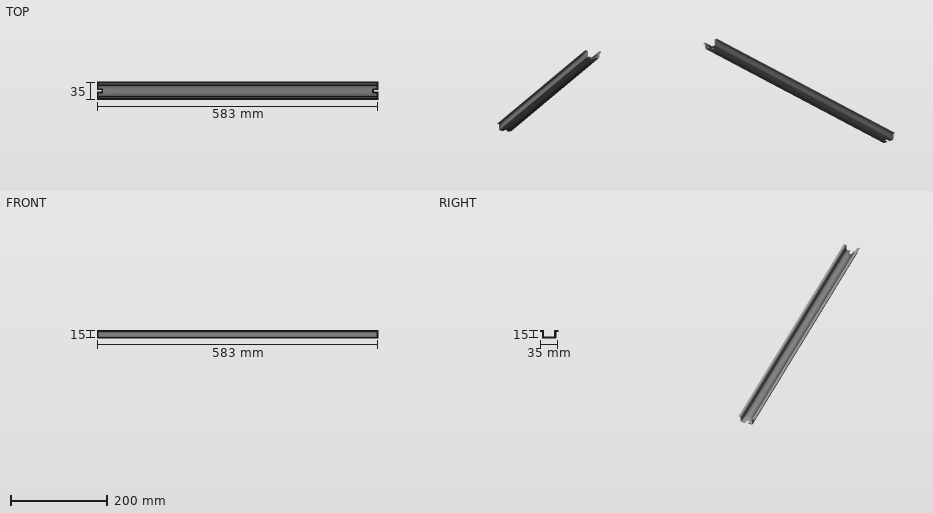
import cadquery as cq

length = 583.0
overall_width = 35.0
height = 15.0
thickness = 1.5
channel_width = 27.0
inner_bend_radius = 0.5
outer_bend_radius = inner_bend_radius + thickness

slot_width = 6.5
slot_depth = 9.5

half_length = length / 2
half_width = overall_width / 2
half_channel = channel_width / 2
half_inner = half_channel - thickness
flange_underside = height - thickness


def side_edges(body, y, z):
    """Select the two mirrored lengthwise edges at +/-y and height z."""
    margin = thickness / 4
    picked = body.newObject([])
    for side in (-1, 1):
        low = (-length, side * y - margin, z - margin)
        high = (length, side * y + margin, z + margin)
        picked = picked.add(body.edges(cq.selectors.BoxSelector(low, high)))
    return picked


def make_rail():
    half_profile = [
        (0, 0),
        (half_channel, 0),
        (half_channel, flange_underside),
        (half_width, flange_underside),
        (half_width, height),
        (half_inner, height),
        (half_inner, thickness),
        (0, thickness),
    ]
    half_rail = cq.Workplane("YZ").polyline(half_profile).close().extrude(half_length, both=True)
    rail = half_rail.union(half_rail.mirror("XZ")).clean()

    rail = side_edges(rail, half_channel, 0).fillet(outer_bend_radius)
    rail = side_edges(rail, half_inner, height).fillet(outer_bend_radius)
    rail = side_edges(rail, half_inner, thickness).fillet(inner_bend_radius)
    return side_edges(rail, half_channel, flange_underside).fillet(inner_bend_radius)


def cut_end_slots(rail):
    slots = (
        cq.Workplane("XY")
        .pushPoints([(-half_length, 0), (half_length, 0)])
        .rect(2 * slot_depth, slot_width)
        .extrude(thickness)
    )
    return rail.cut(slots)


result = cut_end_slots(make_rail())